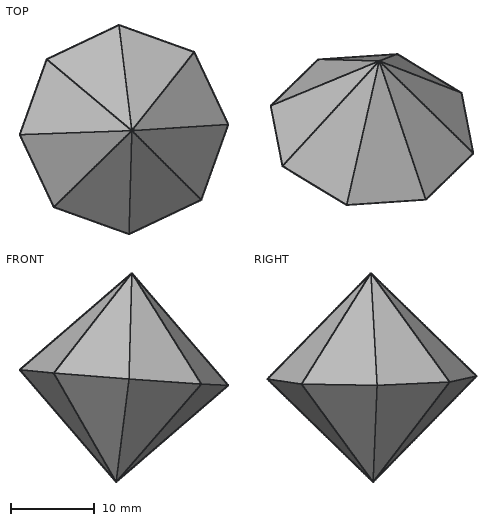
import cadquery as cq
import math

side_count = 8
overall_depth = 24.97

spin_angle = 2.8
tilt_about_x = 0.6
tilt_about_y = 4.3

foreshortening = math.cos(math.radians(spin_angle)) * math.cos(math.radians(tilt_about_x))
corner_radius = overall_depth / 2 / foreshortening
apex_height = corner_radius


def base_corner(index):
    """Corner of the regular polygon shared by the two pyramids."""
    angle = math.radians(index * 360 / side_count)
    return cq.Vector(corner_radius * math.cos(angle), corner_radius * math.sin(angle), 0)


def triangle(*corners):
    """Flat triangular face through three corners."""
    return cq.Face.makeFromWires(cq.Wire.makePolygon(corners, close=True))


def bipyramid():
    """Solid bounded by one triangle per base edge above and below the base."""
    top_apex = cq.Vector(0, 0, apex_height)
    bottom_apex = cq.Vector(0, 0, -apex_height)
    faces = []
    for index in range(side_count):
        start = base_corner(index)
        end = base_corner((index + 1) % side_count)
        faces.append(triangle(start, end, top_apex))
        faces.append(triangle(end, start, bottom_apex))
    return cq.Solid.makeSolid(cq.Shell.makeShell(faces))


origin = (0, 0, 0)
result = (
    cq.Workplane("XY")
    .newObject([bipyramid()])
    .rotate(origin, (0, 0, 1), spin_angle)
    .rotate(origin, (1, 0, 0), tilt_about_x)
    .rotate(origin, (0, 1, 0), tilt_about_y)
)